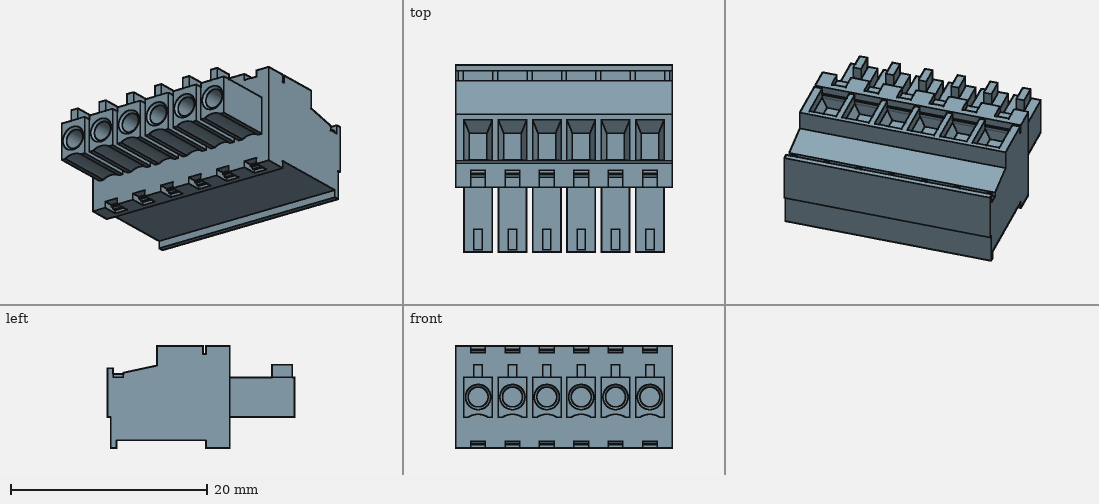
import cadquery as cq


ways = 6
width = 22.1
end_margin = 2.3
pitch = (width - 2 * end_margin) / (ways - 1)
height = 10.4

housing_front = 6.6
groove_front = 9.05
groove_back = 9.33
block_back = 14.03
trough_front = 17.45
trough_back = 18.5
lower_back = 18.76
back = 19.1

foot_height = 0.8
front_foot_back = groove_front
rear_foot_thickness = 0.62
back_overhang_z = 3.15
trough_floor_z = 7.2
slope_low_z = 7.7
slope_high_z = 8.42
back_lip_z = 8.15
groove_depth = 0.8

rib_width = 0.5
rib_top_z = 7.55

pocket_width = 2.9
pocket_back = 13.48
pocket_straight_depth = 1.13
pocket_taper_depth = 1.1
pocket_floor_width = 1.8
pocket_floor_front = groove_back + 0.09
pocket_floor_back = 12.1

notch_width = 1.5
notch_back = 8.35
notch_depth = 0.69
upper_step_depth = 0.33
upper_step_front = 8.07
lower_step_depth = 0.5
lower_step_back = 7.9
lower_step_front = 7.65

sleeve_width = 2.9
sleeve_bottom = 3.15
sleeve_top = 7.2
bore_diameter = 2.03
bore_mouth_diameter = 2.56
bore_chamfer = (bore_mouth_diameter - bore_diameter) / 2
bore_z = height / 2
underside_groove_diameter = 3.65
underside_groove_rise = 0.29

key_width = 0.85
key_front = 0.25
key_back = 2.32
key_top = 8.5


def centred_row(count):
    """X positions of a row of features spaced by the pitch about X = 0."""
    return [(i - (count - 1) / 2) * pitch for i in range(count)]


def box(x_centre, x_size, y_front, y_back, z_low, z_high):
    """Block centred on x_centre, between the given Y and Z limits."""
    return (
        cq.Workplane("XY")
        .box(x_size, y_back - y_front, z_high - z_low, centered=(True, False, False))
        .translate((x_centre, y_front, z_low))
    )


def profile_bar(x_centre, x_size, yz_points):
    """Bar along X whose cross-section is the given (Y, Z) outline."""
    return (
        cq.Workplane("YZ")
        .polyline(yz_points)
        .close()
        .extrude(x_size / 2, both=True)
        .translate((x_centre, 0, 0))
    )


def make_housing():
    rear_foot_front = lower_back - rear_foot_thickness
    outline = [
        (housing_front, 0),
        (front_foot_back, 0),
        (front_foot_back, foot_height),
        (rear_foot_front, foot_height),
        (rear_foot_front, 0),
        (lower_back, 0),
        (lower_back, back_overhang_z),
        (back, back_overhang_z),
        (back, back_lip_z),
        (trough_back, back_lip_z),
        (trough_back, trough_floor_z),
        (trough_front, trough_floor_z),
        (trough_front, slope_low_z),
        (block_back, slope_high_z),
        (block_back, height),
        (groove_back, height),
        (groove_back, height - groove_depth),
        (groove_front, height - groove_depth),
        (groove_front, height),
        (housing_front, height),
    ]
    return profile_bar(0, width, outline)


def make_rib(x):
    return box(x, rib_width, trough_front, trough_back, trough_floor_z, rib_top_z)


def make_pocket(x):
    """Straight-sided mouth with a tapered funnel below it."""
    taper_top_z = height - pocket_straight_depth
    mouth = box(x, pocket_width, groove_back, pocket_back, taper_top_z, height)
    mouth_length = pocket_back - groove_back
    floor_length = pocket_floor_back - pocket_floor_front
    mouth_centre = (pocket_back + groove_back) / 2
    floor_centre = (pocket_floor_back + pocket_floor_front) / 2
    funnel = (
        cq.Workplane("XY", origin=(x, mouth_centre, taper_top_z))
        .rect(pocket_width, mouth_length)
        .workplane(offset=-pocket_taper_depth)
        .center(0, floor_centre - mouth_centre)
        .rect(pocket_floor_width, floor_length)
        .loft(ruled=True)
    )
    return mouth.union(funnel)


def make_top_notch(x):
    """Notch in the top front edge, with two steps joined by a slope."""
    outline = [
        (housing_front, height),
        (notch_back, height),
        (notch_back, height - upper_step_depth),
        (upper_step_front, height - upper_step_depth),
        (lower_step_back, height - lower_step_depth),
        (lower_step_front, height - lower_step_depth),
        (lower_step_front, height - notch_depth),
        (housing_front, height - notch_depth),
    ]
    return profile_bar(x, notch_width, outline)


def make_bottom_notch(x):
    """Mirror image of the top notch about mid-height."""
    return make_top_notch(x).mirror("XY", (0, 0, height / 2))


def make_sleeve(x):
    """Contact sleeve with its coding key and a round groove underneath."""
    body = box(x, sleeve_width, 0, housing_front, sleeve_bottom, sleeve_top)
    key = box(x, key_width, key_front, key_back, sleeve_top, key_top)
    groove_axis_z = sleeve_bottom + underside_groove_rise - underside_groove_diameter / 2
    groove = (
        cq.Workplane("XZ", origin=(x, 0, groove_axis_z))
        .circle(underside_groove_diameter / 2)
        .extrude(-housing_front)
    )
    return body.union(key).cut(groove)


def make_bore(x):
    """Blind sleeve bore with a chamfered mouth, ending at the housing front."""
    bore = (
        cq.Workplane("XZ", origin=(x, 0, bore_z))
        .circle(bore_diameter / 2)
        .extrude(-housing_front)
    )
    mouth = (
        cq.Workplane("XZ", origin=(x, 0, bore_z))
        .circle(bore_mouth_diameter / 2)
        .workplane(offset=-bore_chamfer)
        .circle(bore_diameter / 2)
        .loft()
    )
    return bore.union(mouth)


result = make_housing()

for x in centred_row(ways + 1):
    result = result.union(make_rib(x))

for x in centred_row(ways):
    result = result.cut(make_pocket(x))
    result = result.cut(make_top_notch(x))
    result = result.cut(make_bottom_notch(x))
    result = result.union(make_sleeve(x))
    result = result.cut(make_bore(x))